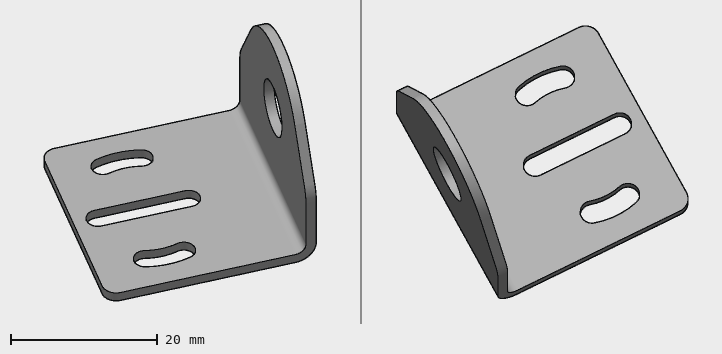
import cadquery as cq
import math

side = 30.0
thickness = 1.5
bend_inner_radius = 1.5
bend_outer_radius = bend_inner_radius + thickness
base_corner_radius = 2.0

hole_height = 15.0
hole_diameter = 8.2
crown_radius = 11.5
shoulder_radius = 5.0
flank_normal_angle = math.radians(30)

slot_width = 3.2
slot_center_y = -5.0
straight_slot_length = 16.2
arc_slot_radius = 10.0
arc_slot_half_angle = math.radians(16)

half_side = side / 2
total_height = hole_height + crown_radius


def make_bent_sheet():
    """L-shaped sheet with a rounded bend along X."""
    sheet = (
        cq.Workplane("YZ")
        .moveTo(-half_side, 0)
        .lineTo(half_side, 0)
        .lineTo(half_side, total_height)
        .lineTo(half_side - thickness, total_height)
        .lineTo(half_side - thickness, thickness)
        .lineTo(-half_side, thickness)
        .close()
        .extrude(half_side, both=True)
    )
    inner_y = half_side - thickness
    outer_corner = cq.selectors.NearestToPointSelector((0, half_side, 0))
    inner_corner = cq.selectors.NearestToPointSelector((0, inner_y, thickness))
    sheet = sheet.edges(outer_corner).fillet(bend_outer_radius)
    return sheet.edges(inner_corner).fillet(bend_inner_radius)


def make_upright_envelope():
    """Front outline of the bracket: a round crown, sloping flanks and rounded shoulders."""
    tangent_x = crown_radius * math.cos(flank_normal_angle)
    tangent_z = hole_height + crown_radius * math.sin(flank_normal_angle)
    shoulder_z = tangent_z - (half_side - tangent_x) / math.tan(flank_normal_angle)
    envelope = (
        cq.Workplane("XZ")
        .moveTo(-half_side, 0)
        .lineTo(half_side, 0)
        .lineTo(half_side, shoulder_z)
        .lineTo(tangent_x, tangent_z)
        .threePointArc((0, total_height), (-tangent_x, tangent_z))
        .lineTo(-half_side, shoulder_z)
        .close()
        .extrude(half_side, both=True)
    )
    for x in (-half_side, half_side):
        shoulder = cq.selectors.NearestToPointSelector((x, 0, shoulder_z))
        envelope = envelope.edges(shoulder).fillet(shoulder_radius)
    return envelope


def make_arc_slot(direction):
    """Cutter for a curved slot on the +X (1) or -X (-1) side."""
    def point(radius, angle):
        return (direction * radius * math.cos(angle), slot_center_y + radius * math.sin(angle))

    inner = arc_slot_radius - slot_width / 2
    outer = arc_slot_radius + slot_width / 2
    end = arc_slot_half_angle
    cap_radius = slot_width / 2

    def cap_tip(sign):
        x, y = point(arc_slot_radius, sign * end)
        return (
            x - direction * cap_radius * math.sin(end),
            y + sign * cap_radius * math.cos(end),
        )

    return (
        cq.Workplane("XY")
        .moveTo(*point(outer, -end))
        .threePointArc(point(outer, 0), point(outer, end))
        .threePointArc(cap_tip(1), point(inner, end))
        .threePointArc(point(inner, 0), point(inner, -end))
        .threePointArc(cap_tip(-1), point(outer, -end))
        .close()
        .extrude(thickness)
    )


def make_straight_slot():
    """Cutter for the slot along Y in the middle of the base."""
    return (
        cq.Workplane("XY")
        .center(0, slot_center_y)
        .slot2D(straight_slot_length, slot_width, 90)
        .extrude(thickness)
    )


def make_upright_hole():
    """Cutter for the round hole, concentric with the crown."""
    return (
        cq.Workplane("XZ")
        .center(0, hole_height)
        .circle(hole_diameter / 2)
        .extrude(half_side, both=True)
    )


result = make_bent_sheet().intersect(make_upright_envelope())
result = result.edges("|Z and <Y").fillet(base_corner_radius)
result = result.cut(make_upright_hole())
result = result.cut(make_straight_slot())
for direction in (-1, 1):
    result = result.cut(make_arc_slot(direction))